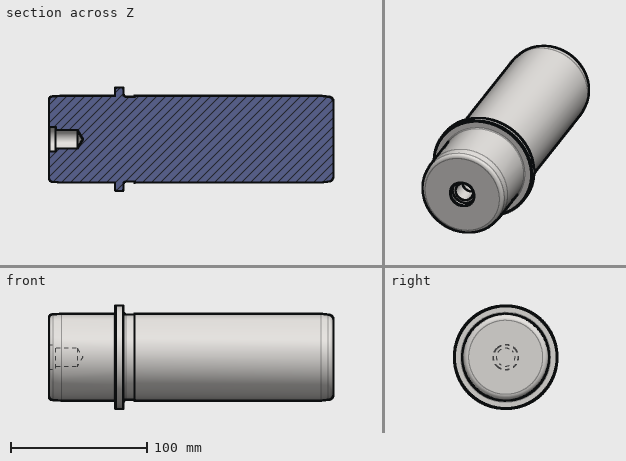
import cadquery as cq
import math

length = 209.0
body_radius = 32.0
lead_radius = 31.5
neck_radius = 31.4

left_round = 3.0
left_lead_end = 9.5

collar_radius = 38.0
collar_start = 48.5
collar_width = 6.5
collar_edge = 0.6
collar_end = collar_start + collar_width

collar_fillet = 0.6

neck_fillet = 1.7
neck_end = 63.0

right_lead_start = 199.8
right_lead_radius = 31.4
right_round = 4.2

counterbore_radius = 9.0
counterbore_depth = 5.0
counterbore_chamfer = 0.5
bore_radius = 6.7
bore_depth = 21.0
drill_point_angle = 118.0


def quarter_arc(sketch, center, radius, mid_angle, end):
    """Add an arc about center that passes mid_angle (degrees) and stops at end."""
    angle = math.radians(mid_angle)
    middle = (center[0] + radius * math.cos(angle), center[1] + radius * math.sin(angle))
    return sketch.threePointArc(middle, end)


def revolve_about_x(sketch):
    return sketch.close().revolve(360, (0, 0, 0), (1, 0, 0))


def make_shaft():
    profile = cq.Workplane("XY").lineTo(0, lead_radius - left_round)
    profile = quarter_arc(
        profile, (left_round, lead_radius - left_round), left_round, 135, (left_round, lead_radius)
    )
    profile = (
        profile.lineTo(left_lead_end, body_radius)
        .lineTo(collar_start - collar_fillet, body_radius)
    )
    profile = quarter_arc(
        profile,
        (collar_start - collar_fillet, body_radius + collar_fillet),
        collar_fillet,
        -45,
        (collar_start, body_radius + collar_fillet),
    )
    profile = (
        profile.lineTo(collar_start, collar_radius - collar_edge)
        .lineTo(collar_start + collar_edge, collar_radius)
        .lineTo(collar_end - collar_edge, collar_radius)
        .lineTo(collar_end, collar_radius - collar_edge)
        .lineTo(collar_end, neck_radius + neck_fillet)
    )
    profile = quarter_arc(
        profile,
        (collar_end + neck_fillet, neck_radius + neck_fillet),
        neck_fillet,
        225,
        (collar_end + neck_fillet, neck_radius),
    )
    profile = (
        profile.lineTo(neck_end, neck_radius)
        .lineTo(neck_end, body_radius)
        .lineTo(right_lead_start, body_radius)
        .lineTo(length - right_round, right_lead_radius)
    )
    profile = quarter_arc(
        profile,
        (length - right_round, right_lead_radius - right_round),
        right_round,
        45,
        (length, right_lead_radius - right_round),
    )
    return revolve_about_x(profile.lineTo(length, 0))


def make_hole():
    point_depth = bore_radius / math.tan(math.radians(drill_point_angle / 2))
    profile = (
        cq.Workplane("XY")
        .lineTo(0, counterbore_radius + counterbore_chamfer)
        .lineTo(counterbore_chamfer, counterbore_radius)
        .lineTo(counterbore_depth, counterbore_radius)
        .lineTo(counterbore_depth, bore_radius)
        .lineTo(bore_depth, bore_radius)
        .lineTo(bore_depth + point_depth, 0)
    )
    return revolve_about_x(profile)


result = make_shaft().cut(make_hole())